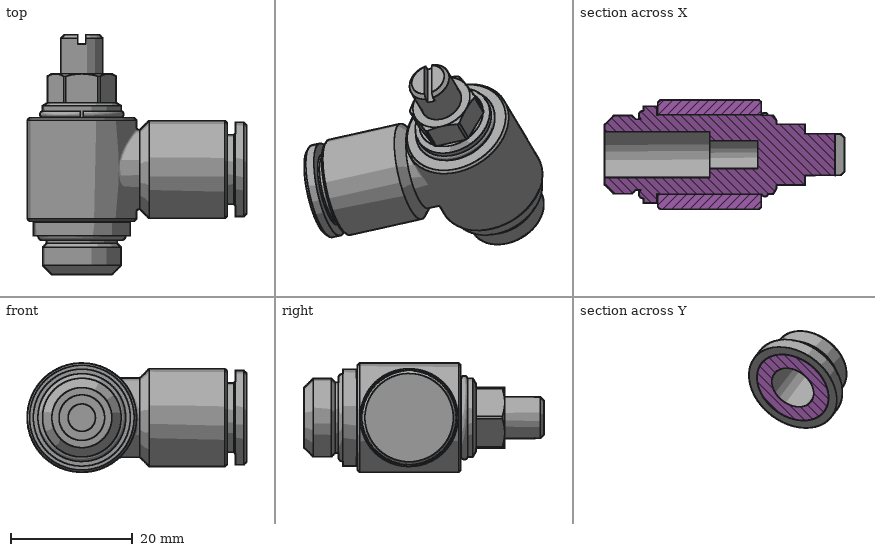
import cadquery as cq
import math


overall_length = 39.5

barrel_radius = 9.0
barrel_length = 17.05
barrel_chamfer = 0.4
shank_radius = 6.5

neck_radius = 6.55
neck_fillet = 0.4
branch_radius = 8.05
branch_start = 9.55
branch_end = 23.95
branch_chamfer = 0.4
sleeve_radius = 5.73
sleeve_flare = 0.25
button_radius = 7.8
button_start = 25.25
button_end = 27.15
button_chamfer = 0.5

stem_radius = 3.48
stem_top = 22.2
stem_chamfer = 0.65
slot_width = 1.25
slot_depth = 1.55

hex_flats = 10.0
hex_corner_radius = 5.65
hex_top = 15.72
hex_bottom = 11.02
hex_chamfer_angle = 30

head_chamfer_width = 0.95
head_chamfer_height = 0.55
wire_radius = 0.55
ring_center_radius = 6.35
ring_y = barrel_length / 2 + wire_radius
ring_gap = 0.47

flange_radius = 8.0
flange_top = -8.65
flange_bottom = -10.9
seal_center_radius = 6.48
seal_wire_radius = 0.75
relief_radius = 5.85
relief_bottom = -12.15
thread_radius = 6.48
thread_end = stem_top - overall_length
thread_chamfer = 1.55

bore_radius = 3.75
bore_end = 0.0
orifice_radius = 2.25
orifice_end = 7.9


def cylinder_y(radius, start, end):
    """Cylinder about the Y axis between two Y positions."""
    base = cq.Plane(origin=(0, start, 0), xDir=(1, 0, 0), normal=(0, 1, 0))
    return cq.Workplane(base).circle(radius).extrude(end - start)


def make_barrel():
    half = barrel_length / 2
    return cylinder_y(barrel_radius, -half, half).edges().chamfer(barrel_chamfer)


def make_branch():
    """Branch body and release collar turned about the X axis."""
    cone_length = branch_radius - neck_radius
    profile = [
        (branch_start, 0),
        (branch_start, neck_radius),
        (branch_start + cone_length, branch_radius),
        (branch_end - branch_chamfer, branch_radius),
        (branch_end, branch_radius - branch_chamfer),
        (branch_end, sleeve_radius),
        (button_start - sleeve_flare, sleeve_radius),
        (button_start, sleeve_radius + sleeve_flare),
        (button_start, button_radius),
        (button_end - button_chamfer, button_radius),
        (button_end, button_radius - button_chamfer),
        (button_end, 0),
    ]
    return cq.Workplane("XY").polyline(profile).close().revolve(360, (0, 0, 0), (1, 0, 0))


def make_housing():
    neck = cq.Workplane("YZ").circle(neck_radius).extrude(branch_end - branch_chamfer)
    body = make_barrel().union(neck)
    reach = neck_radius + neck_fillet
    joint = cq.selectors.BoxSelector((0, -reach, -reach), (branch_start, reach, reach), boundingbox=True)
    body = body.edges(joint).fillet(neck_fillet)
    bore = cylinder_y(shank_radius, -barrel_length, barrel_length)
    return body.union(make_branch()).cut(bore)


def make_stem():
    stem = cylinder_y(stem_radius, hex_bottom, stem_top).faces(">Y").chamfer(stem_chamfer)
    slot = cq.Workplane("XY").box(slot_width, 2 * slot_depth, 2 * stem_radius)
    return stem.cut(slot.translate((0, stem_top, 0)))


def make_hexagon():
    """Hexagon with flats facing +Z and -Z, its corners turned down and chamfered at the top."""
    base = cq.Plane(origin=(0, hex_bottom, 0), xDir=(1, 0, 0), normal=(0, 1, 0))
    corner_diameter = hex_flats / math.cos(math.pi / 6)
    prism = cq.Workplane(base).polygon(6, corner_diameter).extrude(hex_top - hex_bottom)
    top_radius = hex_flats / 2
    chamfer_drop = (hex_corner_radius - top_radius) * math.tan(math.radians(hex_chamfer_angle))
    envelope = (
        cq.Workplane("XY")
        .polyline([
            (0, hex_bottom),
            (hex_corner_radius, hex_bottom),
            (hex_corner_radius, hex_top - chamfer_drop),
            (top_radius, hex_top),
            (0, hex_top),
        ])
        .close()
        .revolve(360, (0, 0, 0), (0, 1, 0))
    )
    return prism.intersect(envelope)


def make_turned_body():
    """Shank, flange, sealing ring and threaded end turned about the Y axis."""
    seal_bottom = flange_bottom - seal_wire_radius
    seal_inner_depth = math.sqrt(seal_wire_radius**2 - (seal_center_radius - relief_radius) ** 2)
    return (
        cq.Workplane("XY")
        .moveTo(0, hex_bottom)
        .lineTo(shank_radius - head_chamfer_width, hex_bottom)
        .lineTo(shank_radius, hex_bottom - head_chamfer_height)
        .lineTo(shank_radius, flange_top)
        .lineTo(flange_radius, flange_top)
        .lineTo(flange_radius, flange_bottom)
        .lineTo(seal_center_radius + seal_wire_radius, flange_bottom)
        .threePointArc(
            (seal_center_radius, seal_bottom),
            (relief_radius, flange_bottom - seal_inner_depth),
        )
        .lineTo(relief_radius, relief_bottom)
        .lineTo(thread_radius, relief_bottom - (thread_radius - relief_radius))
        .lineTo(thread_radius, thread_end + thread_chamfer)
        .lineTo(thread_radius - thread_chamfer, thread_end)
        .lineTo(0, thread_end)
        .close()
        .revolve(360, (0, 0, 0), (0, 1, 0))
    )


def make_retaining_ring():
    """Round-wire ring around the shank with its gap on the +Z side."""
    ring = (
        cq.Workplane("XY")
        .center(ring_center_radius, ring_y)
        .circle(wire_radius)
        .revolve(360, (-ring_center_radius, 0, 0), (-ring_center_radius, 1, 0))
    )
    gap_height = 2 * ring_center_radius
    gap = cq.Workplane("XY").box(ring_gap, 4 * wire_radius, gap_height)
    return ring.cut(gap.translate((0, ring_y, gap_height / 2)))


def make_bolt():
    bolt = make_turned_body().union(make_retaining_ring()).union(make_hexagon()).union(make_stem())
    bore = cylinder_y(bore_radius, thread_end, bore_end)
    orifice = cylinder_y(orifice_radius, bore_end, orifice_end)
    return bolt.cut(bore).cut(orifice)


housing = make_housing()
bolt = make_bolt()

result = cq.Compound.makeCompound([housing.solids().val(), bolt.solids().val()])